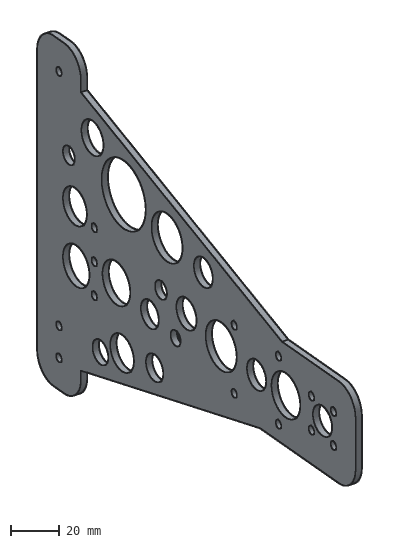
import cadquery as cq

length = 232.0
height = 165.0
thickness = 3.2
corner_radius = 12.0

flange_width = 32.0
upper_shoulder_z = 147.3
lower_shoulder_z = 16.2

head_height = 48.0
head_center_z = 72.0
head_top_z = head_center_z + head_height / 2
head_bottom_z = head_center_z - head_height / 2
upper_taper_end_x = 178.5
lower_taper_end_x = 162.5

screw_diameter = 4.0
flange_screw_x = flange_width / 2
flange_screw_edge_distance = 15.0
extra_flange_screw_z = 30.2
screw_column_xs = (41.8, 143.5, 175.9)
screw_column_half_spacing = 16.0

head_opening_x = 207.9
head_opening_diameter = 14.0
head_screw_pitch = 16.0

lightening_holes = [
    (40.4, 129.7, 16.0),
    (63.0, 113.2, 32.0),
    (94.7, 107.2, 22.5),
    (121.0, 102.8, 13.7),
    (23.2, 113.7, 8.5),
    (27.5, 91.6, 17.5),
    (28.5, 64.0, 19.3),
    (57.8, 69.1, 20.2),
    (82.1, 65.5, 13.0),
    (90.2, 80.5, 8.5),
    (101.0, 62.6, 7.2),
    (108.8, 77.7, 14.5),
    (134.0, 73.8, 22.5),
    (159.8, 72.0, 14.0),
    (181.2, 72.0, 20.9),
    (85.5, 41.8, 12.5),
    (62.0, 38.0, 17.2),
    (46.2, 31.3, 11.4),
]


def make_plate():
    """Tapered plate from Y = 0 to Y = thickness with rounded outer corners."""
    outline = [
        (0, 0),
        (flange_width, 0),
        (flange_width, lower_shoulder_z),
        (lower_taper_end_x, head_bottom_z),
        (length, head_bottom_z),
        (length, head_top_z),
        (upper_taper_end_x, head_top_z),
        (flange_width, upper_shoulder_z),
        (flange_width, height),
        (0, height),
    ]
    plate = cq.Workplane("XZ").polyline(outline).close().extrude(-thickness)
    rounded_corners = [
        (0, 0),
        (flange_width, 0),
        (length, head_bottom_z),
        (length, head_top_z),
        (flange_width, height),
        (0, height),
    ]
    for x, z in rounded_corners:
        corner = cq.selectors.NearestToPointSelector((x, thickness / 2, z))
        plate = plate.edges("|Y").edges(corner).fillet(corner_radius)
    return plate


def drill(plate, centers, diameter):
    """Cut round holes through the plate at the given (x, z) centers."""
    cutter = cq.Workplane("XZ").pushPoints(centers).circle(diameter / 2).extrude(-thickness)
    return plate.cut(cutter)


def screw_centers():
    """Centers of all screw holes in the flange, body and head."""
    centers = [
        (flange_screw_x, flange_screw_edge_distance),
        (flange_screw_x, extra_flange_screw_z),
        (flange_screw_x, height - flange_screw_edge_distance),
        (screw_column_xs[0], head_center_z),
    ]
    for x in screw_column_xs:
        for side in (-1, 1):
            centers.append((x, head_center_z + side * screw_column_half_spacing))
    for x_side in (-1, 1):
        for z_side in (-1, 1):
            x = head_opening_x + x_side * head_screw_pitch / 2
            z = head_center_z + z_side * head_screw_pitch / 2
            centers.append((x, z))
    return centers


result = make_plate()
result = drill(result, screw_centers(), screw_diameter)
result = drill(result, [(head_opening_x, head_center_z)], head_opening_diameter)
for hole_x, hole_z, hole_diameter in lightening_holes:
    result = drill(result, [(hole_x, hole_z)], hole_diameter)